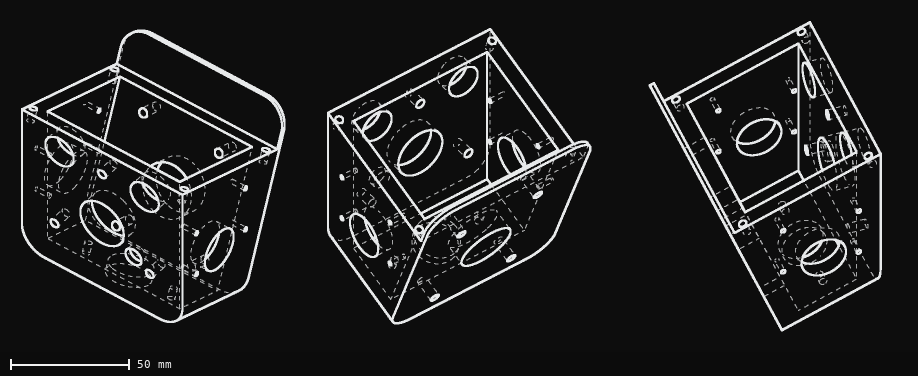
import cadquery as cq
import math

tilt = 20
width = 85.0
depth = 71.9
height = 75.0
corner_radius = 12.0

tab_height = 20.2
tab_thickness = 2.0

side_wall = 7.5
wall = 8.0
floor_thickness = 5.0
cavity_back = depth - tab_thickness - wall

bulb_dia = 15.0
bulb_x = 22.5
upper_row_z = -13.0
front_bore_dia = 23.0
front_bore_z = -41.8
front_screw_dia = 4.1
lower_screw_x = 25.2
lower_screw_z = -56.6
recess_dia = 8.5
recess_x = 16.6
recess_z = -51.6
recess_depth = 3.0

side_bore_dia = 20.0
side_bore_position = (25.6, -51.9)
side_screw_dia = 1.9
side_screw_ys = (9.9, 43.8)
side_screw_zs = (-30.1, -54.1)

back_bore_dia = 25.0
back_bore_z = -38.5
back_screw_center_z = -37.9
back_screw_dia = 4.1
back_screw_spacing_x = 40.0
back_screw_spacing_z = 55.1

floor_bore_dia = 20.0
floor_hole_y = 46.9
floor_screw_dia = 3.2
floor_screw_x = 22.5

lid_screw_dia = 3.3
lid_screw_depth = 6.0
lid_screw_x = width / 2 - 2.5
lid_screw_ys = (5.0, 65.05)

cos_tilt = math.cos(math.radians(tilt))
tan_tilt = math.tan(math.radians(tilt))


def tilted(body):
    """Turn a body from the tilted frame into the part axes."""
    return body.rotate((0, 0, 0), (1, 0, 0), -tilt)


def extruded_profile(points, length):
    """Extrude a YZ outline along X, centred on the middle plane."""
    return cq.Workplane("YZ").polyline(points).close().extrude(length / 2, both=True)


def rod_x(diameter, position):
    y, z = position
    return cq.Workplane("YZ").center(y, z).circle(diameter / 2).extrude(width, both=True)


def rod_y(diameter, x, z, start, length):
    """Cylinder running rearward from the given Y."""
    plane = cq.Workplane("XZ", origin=(x, start, z))
    return plane.circle(diameter / 2).extrude(-length)


def rod_z(diameter, x, y, start, length):
    """Cylinder running upward from the given Z."""
    plane = cq.Workplane("XY", origin=(x, y, start))
    return plane.circle(diameter / 2).extrude(length)


def make_housing():
    outline = [(0, 0), (depth, 0), (depth, -height), (height * tan_tilt, -height)]
    block = extruded_profile(outline, width)
    rounded_plan = (
        cq.Workplane("XZ")
        .rect(width, 2 * height)
        .extrude(-depth)
        .edges("|Y")
        .fillet(corner_radius)
    )
    return block.intersect(rounded_plan)


def make_tab():
    return (
        cq.Workplane("XY", origin=(0, depth - tab_thickness / 2, 0))
        .box(width, tab_thickness, tab_height, centered=(True, True, False))
        .edges("|Y and >Z")
        .fillet(corner_radius)
    )


def make_cavity():
    front_at_rim = wall / cos_tilt
    cavity_floor = height - floor_thickness
    outline = [
        (front_at_rim, 0),
        (cavity_back, 0),
        (cavity_back, -cavity_floor),
        (front_at_rim + cavity_floor * tan_tilt, -cavity_floor),
    ]
    return extruded_profile(outline, width - 2 * side_wall)


body = make_housing().union(make_tab()).cut(make_cavity())

back_wall = depth - cavity_back
body = body.cut(rod_y(back_bore_dia, 0, back_bore_z, cavity_back, back_wall))
for side_x in (-1, 1):
    for side_z in (-1, 1):
        screw_x = side_x * back_screw_spacing_x / 2
        screw_z = back_screw_center_z + side_z * back_screw_spacing_z / 2
        body = body.cut(rod_y(back_screw_dia, screw_x, screw_z, cavity_back, back_wall))

body = body.cut(rod_z(floor_bore_dia, 0, floor_hole_y, -height, floor_thickness))
for x in (-floor_screw_x, floor_screw_x):
    body = body.cut(rod_z(floor_screw_dia, x, floor_hole_y, -height, floor_thickness))

for x in (-lid_screw_x, lid_screw_x):
    for y in lid_screw_ys:
        body = body.cut(rod_z(lid_screw_dia, x, y, -lid_screw_depth, lid_screw_depth))

body = tilted(body)

front_holes = [
    (bulb_dia, -bulb_x, upper_row_z),
    (bulb_dia, bulb_x, upper_row_z),
    (front_bore_dia, 0, front_bore_z),
    (front_screw_dia, 0, upper_row_z),
    (front_screw_dia, -lower_screw_x, lower_screw_z),
    (front_screw_dia, lower_screw_x, lower_screw_z),
]
for diameter, x, z in front_holes:
    body = body.cut(rod_y(diameter, x, z, 0, wall))
body = body.cut(rod_y(recess_dia, recess_x, recess_z, 0, recess_depth))

body = body.cut(rod_x(side_bore_dia, side_bore_position))
for y in side_screw_ys:
    for z in side_screw_zs:
        body = body.cut(rod_x(side_screw_dia, (y, z)))

result = body